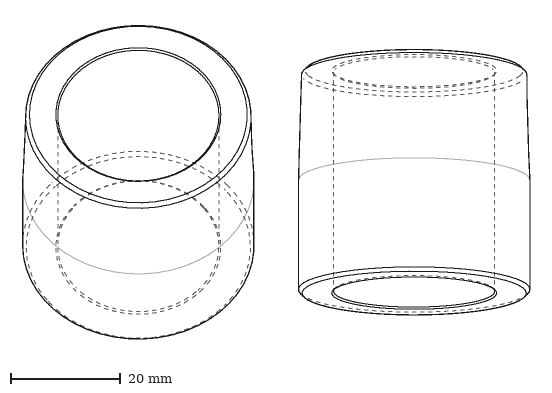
import cadquery as cq

outer_diameter = 42.15
height = 41.27
bore_diameter = 29.35

straight_height = 20.9
taper_top_diameter = 41.05

bottom_chamfer = 0.67
top_chamfer = 0.7
bore_chamfer = 0.35

outer_radius = outer_diameter / 2
taper_top_radius = taper_top_diameter / 2

outer_profile = [
    (0, 0),
    (outer_radius - bottom_chamfer, 0),
    (outer_radius, bottom_chamfer),
    (outer_radius, straight_height),
    (taper_top_radius, height - top_chamfer),
    (taper_top_radius - top_chamfer, height),
    (0, height),
]
body = cq.Workplane("XZ").polyline(outer_profile).close().revolve(360, (0, 0), (0, 1))

bored_body = body.faces(">Z").workplane().hole(bore_diameter)
bore_edges = cq.selectors.RadiusNthSelector(0)
result = bored_body.edges(bore_edges).chamfer(bore_chamfer)